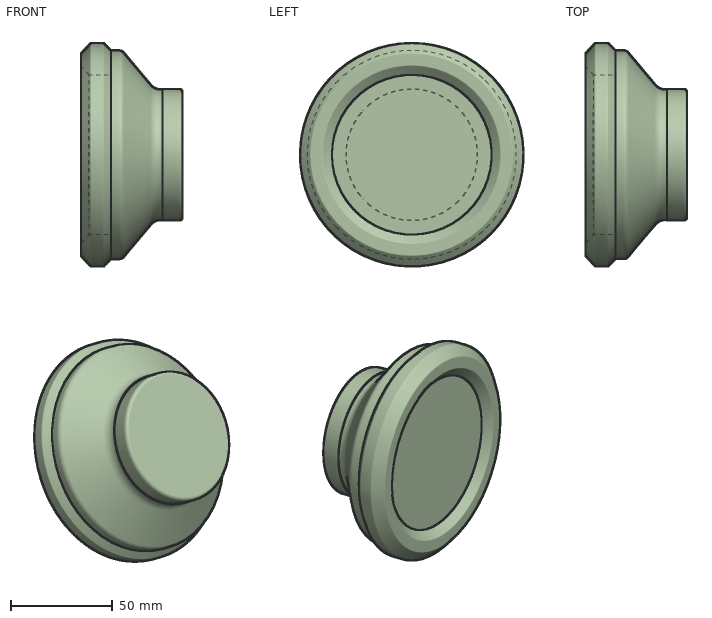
import cadquery as cq
import math

rim_radius = 55.1
front_outer_radius = 49.9
front_inner_radius = 43.8
front_chamfer = 4.8
back_chamfer_start = 11.1
ring_edge_fillet = 0.8

dish_radius = 103.0 / 2
face_radius = 39.3
face_depth = 4.0
face_rise = 0.3
shoulder_start = 18.7
shoulder_fillet = 3.0
cone_angle = math.radians(50)
neck_radius = 64.5 / 2
neck_fillet = 6.1
collar_radius = 65.0 / 2
collar_start = 40.1
collar_fillet = 1.8
total_length = 50.0

ring_back = back_chamfer_start + rim_radius - dish_radius


def revolve_about_x(profile):
    """Full turn about the X axis of a profile drawn with x = axial and y = radial."""
    return profile.close().revolve(360, (0, 0, 0), (1, 0, 0))


def make_ring():
    profile = (
        cq.Workplane("XY")
        .moveTo(0, front_inner_radius)
        .lineTo(0, front_outer_radius)
        .lineTo(front_chamfer, rim_radius)
        .lineTo(back_chamfer_start, rim_radius)
        .lineTo(ring_back, dish_radius)
        .lineTo(ring_back, face_radius)
        .lineTo(face_depth, face_radius)
    )
    ring = revolve_about_x(profile)
    front_edges = ring.faces("<X").edges()
    ring = front_edges.fillet(ring_edge_fillet)
    rim_edges = ring.edges(cq.selectors.RadiusNthSelector(-1))
    return rim_edges.fillet(ring_edge_fillet)


def make_dish():
    turn_axial = math.sin(cone_angle)
    turn_radial = 1 - math.cos(cone_angle)
    mid_axial = math.sin(cone_angle / 2)
    mid_radial = 1 - math.cos(cone_angle / 2)

    cone_start = shoulder_start + shoulder_fillet * turn_axial
    cone_start_radius = dish_radius - shoulder_fillet * turn_radial
    cone_end_radius = neck_radius + neck_fillet * turn_radial
    cone_end = cone_start + (cone_start_radius - cone_end_radius) / math.tan(cone_angle)
    neck_start = cone_end + neck_fillet * turn_axial

    shoulder_middle = (
        shoulder_start + shoulder_fillet * mid_axial,
        dish_radius - shoulder_fillet * mid_radial,
    )
    neck_middle = (
        neck_start - neck_fillet * mid_axial,
        neck_radius + neck_fillet * mid_radial,
    )
    profile = (
        cq.Workplane("XY")
        .moveTo(face_depth - face_rise, 0)
        .lineTo(face_depth, face_radius)
        .lineTo(ring_back, face_radius)
        .lineTo(ring_back, dish_radius)
        .lineTo(shoulder_start, dish_radius)
        .threePointArc(shoulder_middle, (cone_start, cone_start_radius))
        .lineTo(cone_end, cone_end_radius)
        .threePointArc(neck_middle, (neck_start, neck_radius))
        .lineTo(collar_start, neck_radius)
        .lineTo(collar_start, collar_radius)
        .lineTo(total_length, collar_radius)
        .lineTo(total_length, 0)
    )
    dish = revolve_about_x(profile)
    return dish.faces(">X").edges().fillet(collar_fillet)


ring = make_ring()
dish = make_dish()
result = cq.Compound.makeCompound([ring.val(), dish.val()])